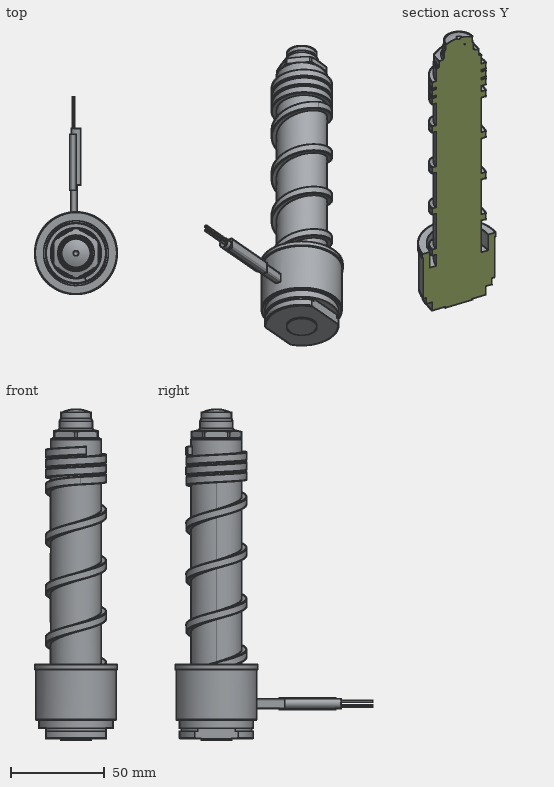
import cadquery as cq
import math

overall_height = 176.3
boss_radius, boss_height = 8.1, 0.7
foot_radius, foot_top = 19.7, 4.8
neck_radius, neck_top = 18.9, 6.3
collar_radius, collar_top = 19.7, 10.4
body_radius, flange_bottom = 21.5, 37.4
flange_radius, flange_top = 22.0, 40.4
edge_chamfer = 0.5
flange_chamfer = 0.4
foot_flat_distance = 16.0

well_radius = 17.3
well_floor = 30.0

tube_radius, tube_top = 13.5, 160.6
tube_chamfer = 0.5

nut_across_flats = 23.8
nut_turn = 30
nut_corner_radius = 13.4
nut_bottom, nut_top = 161.1, 165.2
nut_chamfer_drop = 0.9
nut_seat_radius = 12.3

flare_radius, flare_top = 9.7, 166.0
stem_radius, stem_top = 8.8, 169.8
shoulder_radius, shoulder_top = 8.3, 171.0
button_radius, button_bottom, button_top = 8.1, 171.5, 174.5
dome_edge_radius = 7.5
center_mark_radius, center_mark_depth = 1.4, 1.0

spring_radius = 16.2
spring_root_radius = tube_radius - 0.5
spring_height = 4.4
spring_chamfer = 0.4
open_pitch, closed_pitch = 27.2, 5.3
open_turns = 3.9
closed_start_angle = -81.5
closed_end_angle = -70.0 + 3 * 360
blend_angle = 117.5
closed_start_height = 138.2
points_per_turn = 36

cable_height = 19.4
cable_width, cable_depth, cable_corner = 3.5, 5.3, 0.7
cable_x = -1.0
flat_sleeve_width, flat_sleeve_depth, flat_sleeve_corner = 3.7, 6.3, 0.9
flat_sleeve_x = -1.5
flat_sleeve_start, flat_sleeve_end = 33.5, 63.5
round_sleeve_radius = 2.6
round_sleeve_start, round_sleeve_end = 36.3, 66.5
wire_radius = 0.62
wire_x = -1.32
wire_spacing = 2.5
wire_end = 83.4
cable_root = (well_radius + body_radius) / 2


def cylinder(radius, bottom, top):
    return cq.Workplane("XY").workplane(offset=bottom).circle(radius).extrude(top - bottom)


def make_base():
    foot = cylinder(foot_radius, boss_height, foot_top).faces("<Z").chamfer(edge_chamfer)
    foot = foot.union(cylinder(neck_radius, foot_top, neck_top))
    flat_width = 2 * foot_flat_distance
    foot = foot.intersect(cq.Workplane("XY").box(flat_width, 2 * foot_radius, 2 * neck_top))
    body = cylinder(body_radius, collar_top, flange_bottom).faces("<Z").chamfer(edge_chamfer)
    flange = cylinder(flange_radius, flange_bottom, flange_top).edges().chamfer(flange_chamfer)
    well = cylinder(well_radius, well_floor, flange_top)
    return (
        cylinder(boss_radius, 0, boss_height)
        .union(foot)
        .union(cylinder(collar_radius, neck_top, collar_top))
        .union(body)
        .union(flange)
        .cut(well)
    )


def make_tube():
    return cylinder(tube_radius, well_floor, tube_top).faces(">Z").chamfer(tube_chamfer)


def make_nut():
    corner_diameter = nut_across_flats / math.cos(math.radians(nut_turn))
    hexagon = (
        cq.Workplane("XY")
        .workplane(offset=nut_bottom)
        .polygon(6, corner_diameter)
        .extrude(nut_top - nut_bottom)
        .rotate((0, 0, 0), (0, 0, 1), nut_turn)
    )
    turned = (
        cq.Workplane("XZ")
        .moveTo(0, nut_bottom)
        .lineTo(nut_corner_radius, nut_bottom)
        .lineTo(nut_corner_radius, nut_top - nut_chamfer_drop)
        .lineTo(flare_radius, nut_top)
        .lineTo(0, nut_top)
        .close()
        .revolve()
    )
    return hexagon.intersect(turned).union(cylinder(nut_seat_radius, tube_top, nut_bottom))


def make_tip():
    sphere_center = (
        dome_edge_radius**2 + button_top**2 - center_mark_radius**2 - overall_height**2
    ) / (2 * (button_top - overall_height))
    sphere_radius = math.hypot(dome_edge_radius, button_top - sphere_center)
    middle_radius = (dome_edge_radius + center_mark_radius) / 2
    middle_height = sphere_center + math.sqrt(sphere_radius**2 - middle_radius**2)
    return (
        cq.Workplane("XZ")
        .moveTo(0, nut_top)
        .lineTo(flare_radius, nut_top)
        .lineTo(stem_radius, flare_top)
        .lineTo(stem_radius, stem_top)
        .lineTo(shoulder_radius, shoulder_top)
        .lineTo(button_radius, button_bottom)
        .lineTo(button_radius, button_top)
        .lineTo(dome_edge_radius, button_top)
        .threePointArc((middle_radius, middle_height), (center_mark_radius, overall_height))
        .lineTo(0, overall_height - center_mark_depth)
        .close()
        .revolve()
    )


def spring_middle(angle):
    """Height of the middle of the spring wire at an angle in degrees."""
    turned = angle - closed_start_angle
    if turned >= 0:
        return closed_start_height + closed_pitch * turned / 360
    blended = max(turned, -blend_angle)
    pitch_gain = (open_pitch - closed_pitch) * -blended / blend_angle
    blend_height = closed_start_height + (closed_pitch + pitch_gain / 2) * blended / 360
    return blend_height + open_pitch * (turned - blended) / 360


def spring_edge(radius, rise, start_angle, end_angle):
    points = []
    steps = math.ceil((end_angle - start_angle) / 360 * points_per_turn)
    for step in range(steps + 1):
        angle = start_angle + (end_angle - start_angle) * step / steps
        turn = math.radians(angle)
        height = spring_middle(angle) + rise
        points.append(cq.Vector(radius * math.cos(turn), radius * math.sin(turn), height))
    return cq.Edge.makeSpline(points)


def make_spring():
    half = spring_height / 2
    section = [
        (spring_root_radius, -half),
        (spring_radius - spring_chamfer, -half),
        (spring_radius, spring_chamfer - half),
        (spring_radius, half - spring_chamfer),
        (spring_radius - spring_chamfer, half),
        (spring_root_radius, half),
    ]
    blend_start_angle = closed_start_angle - blend_angle
    open_start_angle = blend_start_angle - 360 * open_turns
    bounds = [open_start_angle, blend_start_angle, closed_start_angle, closed_end_angle]

    faces = []
    ends = []
    for start, end in zip(bounds, bounds[1:]):
        edges = [spring_edge(radius, rise, start, end) for radius, rise in section]
        faces += [cq.Face.makeRuledSurface(edges[i - 1], edges[i]) for i in range(len(edges))]
        ends.append([edge.startPoint() for edge in edges])
    ends.append([edge.endPoint() for edge in edges])
    for corners in (ends[0], ends[-1]):
        faces.append(cq.Face.makeFromWires(cq.Wire.makePolygon(corners, close=True)))
    return cq.Workplane(cq.Solid.makeSolid(cq.Shell.makeShell(faces)))


def along_y(start):
    """XZ workplane at the cable height; negative extrusions run toward +Y."""
    return cq.Workplane("XZ", origin=(0, start, cable_height))


def flat_bar(x, width, depth, corner, start, end):
    bar = along_y(start).center(x, 0).rect(width, depth).extrude(start - end)
    return bar.edges("|Y").fillet(corner)


def make_cable():
    cable = flat_bar(cable_x, cable_width, cable_depth, cable_corner, cable_root, flat_sleeve_end)
    flat_sleeve = flat_bar(
        flat_sleeve_x,
        flat_sleeve_width,
        flat_sleeve_depth,
        flat_sleeve_corner,
        flat_sleeve_start,
        flat_sleeve_end,
    )
    round_sleeve = (
        along_y(round_sleeve_start)
        .circle(round_sleeve_radius)
        .extrude(round_sleeve_start - round_sleeve_end)
    )
    wires = (
        along_y(flat_sleeve_end)
        .pushPoints([(wire_x, -wire_spacing / 2), (wire_x, wire_spacing / 2)])
        .circle(wire_radius)
        .extrude(flat_sleeve_end - wire_end)
    )
    return cable.union(flat_sleeve).union(round_sleeve).union(wires)


result = (
    make_base()
    .union(make_tube())
    .union(make_nut())
    .union(make_tip())
    .union(make_cable())
    .union(make_spring())
)